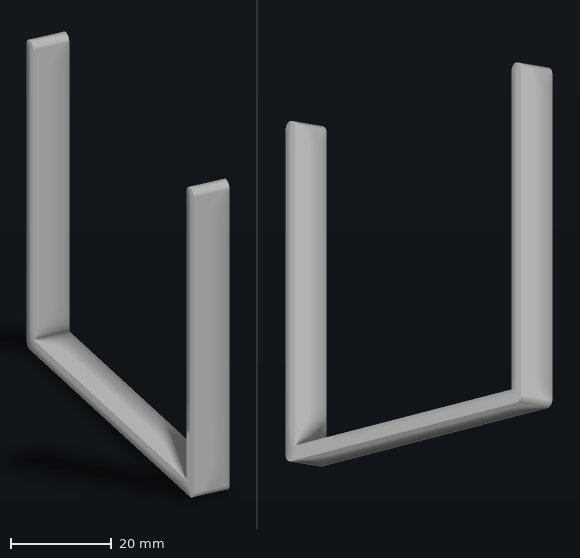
import cadquery as cq

width = 74.4
depth = 8.0
height = 69.25
thickness = 3.0

round_radius = thickness / 2
outer_x = width / 2
inner_x = outer_x - thickness
arm_middle_x = outer_x - round_radius
round_start_z = height - round_radius

bracket = (
    cq.Workplane("XZ")
    .moveTo(-outer_x, 0)
    .lineTo(outer_x, 0)
    .lineTo(outer_x, round_start_z)
    .threePointArc((arm_middle_x, height), (inner_x, round_start_z))
    .lineTo(inner_x, thickness)
    .lineTo(-inner_x, thickness)
    .lineTo(-inner_x, round_start_z)
    .threePointArc((-arm_middle_x, height), (-outer_x, round_start_z))
    .close()
    .extrude(depth / 2, both=True)
)

result = bracket.faces("<Z").edges("|Y").fillet(round_radius)